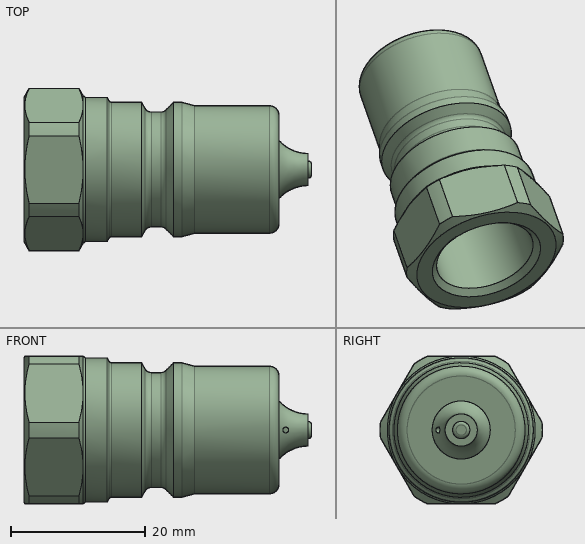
import cadquery as cq
import math

LENGTH = 42.8

HEX_FLATS = 22.0
CORNER_RADIUS = 12.09
HEX_FACE_RADIUS = 10.75
HEX_BACK_RADIUS = 11.0
HEX_CHAMFER_ANGLE = math.radians(30)
HEX_END = 8.8

COLLAR_START = 9.15
COLLAR_RADIUS = 10.75
COLLAR_END = 12.3
COLLAR_EDGE_FILLET = 0.15
STEP_ANGLE = math.radians(60)
STEP_FILLET = 0.43
BODY_START = 13.05
BODY_RADIUS = 10.0

GROOVE_RADIUS = 8.55
GROOVE_FLOOR_START = 18.95
GROOVE_FLOOR_END = 20.37
GROOVE_FILLET = 1.05
GROOVE_START_ANGLE = math.radians(60)
GROOVE_END_ANGLE = math.radians(45)

TAPER_START = 23.5
TAPER_ANGLE = math.radians(15)
BARREL_RADIUS = 9.5
BARREL_END = 37.95
BARREL_FILLET = 1.45

NOSE_BASE_RADIUS = 4.32
NOSE_TIP_RADIUS = 2.4
NOSE_END = 42.3
BUTTON_RADIUS = 1.3
SIDE_HOLE_X = 38.95
SIDE_HOLE_DIAMETER = 0.85

BORE_RADIUS = 7.45
BORE_MOUTH_RADIUS = 8.35
BORE_CHAMFER_LENGTH = 0.9
BORE_DEPTH = 19.25


def revolve_about_x(profile):
    return profile.close().revolve(360, (0, 0, 0), (1, 0, 0))


def fillet_point(floor_end, direction, angle):
    """Point on a groove fillet where its tangent has turned through the angle."""
    x = floor_end + direction * GROOVE_FILLET * math.sin(angle)
    radius = GROOVE_RADIUS + GROOVE_FILLET * (1 - math.cos(angle))
    return x, radius


def groove_top(floor_end, direction, angle):
    """Point where the straight groove wall meets the body."""
    x, radius = fillet_point(floor_end, direction, angle)
    return x + direction * (BODY_RADIUS - radius) / math.tan(angle), BODY_RADIUS


def make_hexagon():
    corner_diameter = HEX_FLATS / math.cos(math.pi / 6)
    prism = cq.Workplane("YZ").polygon(6, corner_diameter).extrude(HEX_END)
    slope = math.tan(HEX_CHAMFER_ANGLE)
    front_chamfer = (CORNER_RADIUS - HEX_FACE_RADIUS) * slope
    back_chamfer = (CORNER_RADIUS - HEX_BACK_RADIUS) * slope
    envelope = revolve_about_x(
        cq.Workplane("XY")
        .lineTo(0, HEX_FACE_RADIUS)
        .lineTo(front_chamfer, CORNER_RADIUS)
        .lineTo(HEX_END - back_chamfer, CORNER_RADIUS)
        .lineTo(HEX_END, HEX_BACK_RADIUS)
        .lineTo(HEX_END, 0)
    )
    return prism.intersect(envelope)


def make_turned_body():
    edge_end = (
        COLLAR_END + COLLAR_EDGE_FILLET * math.sin(STEP_ANGLE),
        COLLAR_RADIUS - COLLAR_EDGE_FILLET * (1 - math.cos(STEP_ANGLE)),
    )
    step_foot = (
        BODY_START - STEP_FILLET * math.sin(STEP_ANGLE),
        BODY_RADIUS + STEP_FILLET * (1 - math.cos(STEP_ANGLE)),
    )
    start_wall = (GROOVE_FLOOR_START, -1, GROOVE_START_ANGLE)
    end_wall = (GROOVE_FLOOR_END, 1, GROOVE_END_ANGLE)
    start_mid = fillet_point(GROOVE_FLOOR_START, -1, GROOVE_START_ANGLE / 2)
    end_mid = fillet_point(GROOVE_FLOOR_END, 1, GROOVE_END_ANGLE / 2)
    taper_length = (BODY_RADIUS - BARREL_RADIUS) / math.tan(TAPER_ANGLE)
    return revolve_about_x(
        cq.Workplane("XY")
        .moveTo(HEX_END, 0)
        .lineTo(HEX_END, HEX_BACK_RADIUS)
        .lineTo(COLLAR_START, COLLAR_RADIUS)
        .lineTo(COLLAR_END, COLLAR_RADIUS)
        .tangentArcPoint(edge_end, relative=False)
        .lineTo(*step_foot)
        .tangentArcPoint((BODY_START, BODY_RADIUS), relative=False)
        .lineTo(*groove_top(*start_wall))
        .lineTo(*fillet_point(*start_wall))
        .threePointArc(start_mid, (GROOVE_FLOOR_START, GROOVE_RADIUS))
        .lineTo(GROOVE_FLOOR_END, GROOVE_RADIUS)
        .threePointArc(end_mid, fillet_point(*end_wall))
        .lineTo(*groove_top(*end_wall))
        .lineTo(TAPER_START, BODY_RADIUS)
        .lineTo(TAPER_START + taper_length, BARREL_RADIUS)
        .lineTo(BARREL_END - BARREL_FILLET, BARREL_RADIUS)
        .tangentArcPoint((BARREL_END, BARREL_RADIUS - BARREL_FILLET), relative=False)
        .lineTo(BARREL_END, 0)
    )


def make_nose():
    """Concave flare, level at its tip, ending in a small button with a fully rounded edge."""
    length = NOSE_END - BARREL_END
    rise = NOSE_BASE_RADIUS - NOSE_TIP_RADIUS
    flare_radius = (length**2 + rise**2) / (2 * rise)
    mid_angle = math.asin(length / flare_radius) / 2
    flare_mid = (
        NOSE_END - flare_radius * math.sin(mid_angle),
        NOSE_TIP_RADIUS + flare_radius * (1 - math.cos(mid_angle)),
    )
    button_height = LENGTH - NOSE_END
    round_side = math.sqrt(0.5) * button_height
    round_mid = (NOSE_END + round_side, BUTTON_RADIUS - button_height + round_side)
    return revolve_about_x(
        cq.Workplane("XY")
        .moveTo(BARREL_END, 0)
        .lineTo(BARREL_END, NOSE_BASE_RADIUS)
        .threePointArc(flare_mid, (NOSE_END, NOSE_TIP_RADIUS))
        .lineTo(NOSE_END, BUTTON_RADIUS)
        .threePointArc(round_mid, (LENGTH, BUTTON_RADIUS - button_height))
        .lineTo(LENGTH, 0)
    )


def make_bore():
    return revolve_about_x(
        cq.Workplane("XY")
        .lineTo(0, BORE_MOUTH_RADIUS)
        .lineTo(BORE_CHAMFER_LENGTH, BORE_RADIUS)
        .lineTo(BORE_DEPTH, BORE_RADIUS)
        .lineTo(BORE_DEPTH, 0)
    )


def make_side_hole():
    """Radial hole from the -Y side of the nose to its axis."""
    return (
        cq.Workplane("XZ")
        .center(SIDE_HOLE_X, 0)
        .circle(SIDE_HOLE_DIAMETER / 2)
        .extrude(NOSE_BASE_RADIUS)
    )


solid = make_hexagon().union(make_turned_body()).union(make_nose())
result = solid.cut(make_bore()).cut(make_side_hole())